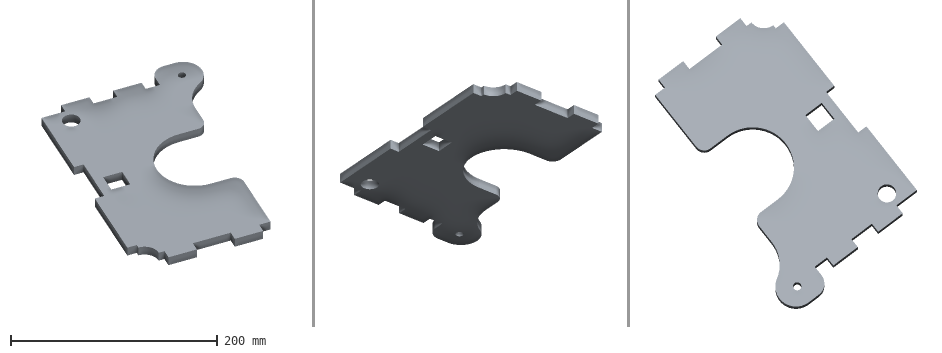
import cadquery as cq
import math

thickness = 10.0
body_width = 230.0
body_height = 143.0
tab_depth = 10.0
mid_x = body_width / 2

side_tab_length = 30.0
left_tab_bottoms = (25.0, 80.0)
right_tab_bottoms = (31.0, 101.0)

bottom_tab_length = 80.0
bottom_tab_starts = (0.0, 131.0)

corner_notch_radius = 15.0

cutout_radius = 40.0
cutout_center_y = 112.3
cutout_corner_radius = 10.0

ear_radius = 20.05
ear_left = -24.44
ear_top = 171.46
ear_x = ear_left + ear_radius
ear_y = ear_top - ear_radius
ear_bottom = 125.0
ear_corner_radius = 14.0
ear_blend_radius = 37.0
ear_hole_diameter = 8.0
ear_hole_center = (-5.0, 150.4)

round_hole_diameter = 18.0
round_hole_center = (15.0, 25.0)
square_hole_side = 20.0
square_hole_y = 30.0


def block(x_min, y_min, x_max, y_max):
    """Full-thickness block between two opposite corners."""
    return (
        cq.Workplane("XY")
        .moveTo((x_min + x_max) / 2, (y_min + y_max) / 2)
        .rect(x_max - x_min, y_max - y_min)
        .extrude(thickness)
    )


def cylinder(x, y, radius):
    """Full-thickness vertical cylinder."""
    return cq.Workplane("XY").moveTo(x, y).circle(radius).extrude(thickness)


def corner_arc_offset(radius):
    """Distance along X and Y from a square corner to the middle of its rounding arc."""
    return radius * (1 - math.sqrt(0.5))


def make_body():
    """Rectangular body with the long tabs below it and the short tabs at its sides."""
    body = block(0, tab_depth, body_width, body_height)
    for start in bottom_tab_starts:
        body = body.union(block(start, 0, start + bottom_tab_length, tab_depth))
    for bottom in left_tab_bottoms:
        body = body.union(block(-tab_depth, bottom, 0, bottom + side_tab_length))
    for bottom in right_tab_bottoms:
        body = body.union(block(body_width, bottom, body_width + tab_depth, bottom + side_tab_length))
    return body


def make_ear():
    """Round-topped ear that runs into the top edge through a concave tangent arc."""
    blend_y = body_height + ear_blend_radius
    rise = blend_y - ear_y
    reach = ear_radius + ear_blend_radius
    run = math.sqrt(reach**2 - rise**2)
    blend_x = ear_x + run
    touch = (ear_x + ear_radius * run / reach, ear_y + ear_radius * rise / reach)

    start_angle = math.atan2(touch[1] - blend_y, touch[0] - blend_x)
    middle_angle = (start_angle - math.pi / 2) / 2
    blend_middle = (
        blend_x + ear_blend_radius * math.cos(middle_angle),
        blend_y + ear_blend_radius * math.sin(middle_angle),
    )
    corner_offset = corner_arc_offset(ear_corner_radius)
    ear_middle_offset = ear_radius * math.sqrt(0.5)
    return (
        cq.Workplane("XY")
        .moveTo(blend_x, ear_bottom)
        .lineTo(ear_left + ear_corner_radius, ear_bottom)
        .threePointArc(
            (ear_left + corner_offset, ear_bottom + corner_offset),
            (ear_left, ear_bottom + ear_corner_radius),
        )
        .lineTo(ear_left, ear_y)
        .threePointArc((ear_x - ear_middle_offset, ear_y + ear_middle_offset), touch)
        .threePointArc(blend_middle, (blend_x, body_height))
        .close()
        .extrude(thickness)
    )


def make_cutout():
    """U-shaped cut-out whose mouth flares out with two round corners."""
    left = mid_x - cutout_radius
    right = mid_x + cutout_radius
    corner_y = body_height - cutout_corner_radius
    corner_offset = corner_arc_offset(cutout_corner_radius)
    return (
        cq.Workplane("XY")
        .moveTo(left - cutout_corner_radius, body_height)
        .threePointArc((left - corner_offset, body_height - corner_offset), (left, corner_y))
        .lineTo(left, cutout_center_y)
        .threePointArc((mid_x, cutout_center_y - cutout_radius), (right, cutout_center_y))
        .lineTo(right, corner_y)
        .threePointArc(
            (right + corner_offset, body_height - corner_offset),
            (right + cutout_corner_radius, body_height),
        )
        .close()
        .extrude(thickness)
    )


def make_square_hole():
    """Square window on the centre line of the cut-out."""
    half = square_hole_side / 2
    return block(mid_x - half, square_hole_y - half, mid_x + half, square_hole_y + half)


result = (
    make_body()
    .union(make_ear())
    .cut(make_cutout())
    .cut(make_square_hole())
    .cut(cylinder(*round_hole_center, round_hole_diameter / 2))
    .cut(cylinder(*ear_hole_center, ear_hole_diameter / 2))
    .cut(cylinder(body_width, tab_depth, corner_notch_radius))
)